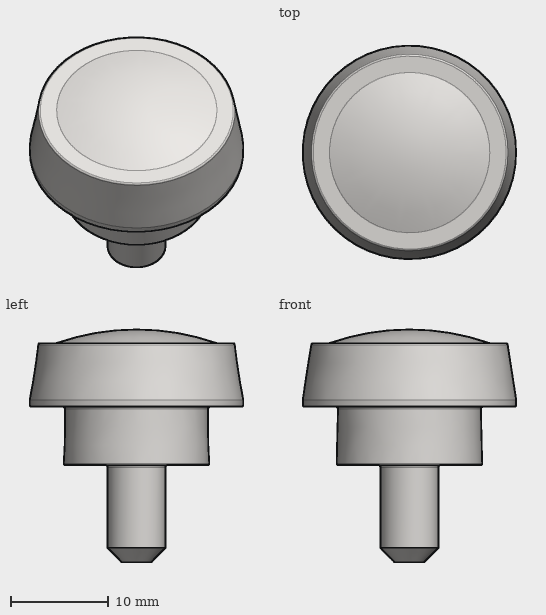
import cadquery as cq

total_height = 24.0
head_top = 22.58
rim_top = 16.78
head_bottom = 16.0
hub_bottom = 10.0

rim_radius = 22.0 / 2
head_top_radius = 10.1
dome_radius = 8.25
hub_top_radius = 7.37
hub_bottom_radius = 7.5
pin_radius = 6.0 / 2

edge_round = 0.2
pin_chamfer = 1.5

profile = (
    cq.Workplane("XZ")
    .lineTo(pin_radius - pin_chamfer, 0)
    .lineTo(pin_radius, pin_chamfer)
    .lineTo(pin_radius, hub_bottom)
    .lineTo(hub_bottom_radius, hub_bottom)
    .lineTo(hub_top_radius, head_bottom)
    .lineTo(rim_radius, head_bottom)
    .lineTo(rim_radius, rim_top)
    .lineTo(head_top_radius, head_top)
    .lineTo(0, head_top)
    .close()
)
knob = profile.revolve(360, (0, 0, 0), (0, 1, 0))


def circular_edges_at(height):
    """Box selector for every edge lying in the horizontal plane at height."""
    margin = 0.02
    reach = total_height
    return cq.selectors.BoxSelector(
        (-reach, -reach, height - margin), (reach, reach, height + margin), boundingbox=True
    )


for round_height in (hub_bottom, head_bottom, head_top):
    knob = knob.edges(circular_edges_at(round_height)).fillet(edge_round)

dome_rise = total_height - head_top
sphere_radius = (dome_radius**2 + dome_rise**2) / (2 * dome_rise)
sphere = cq.Workplane("XY").sphere(sphere_radius).translate((0, 0, total_height - sphere_radius))
cap_space = cq.Workplane("XY").workplane(offset=head_top).circle(rim_radius).extrude(dome_rise)
dome = sphere.intersect(cap_space)

result = knob.union(dome)